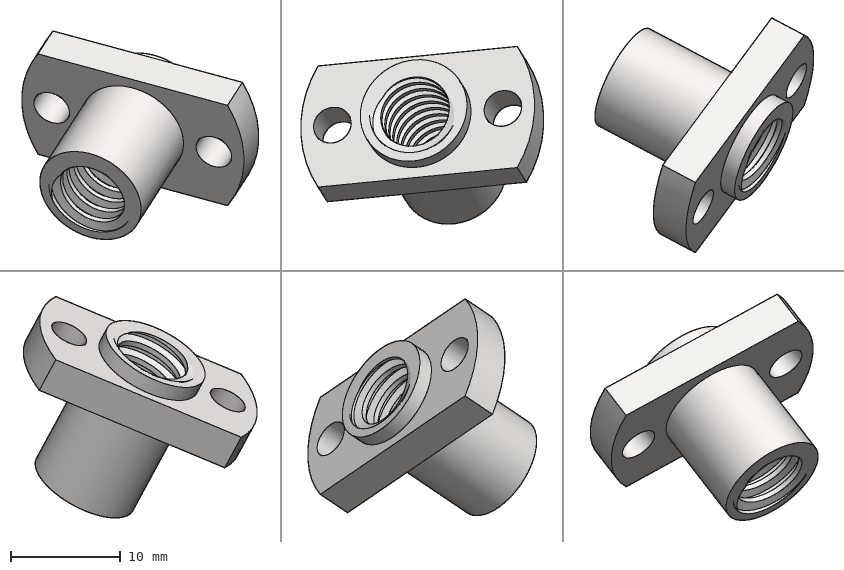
import cadquery as cq
import math

flange_length = 21.93
flange_height = 12.0
flange_flat_length = 18.68
flange_thickness = 3.5
mounting_hole_diameter = 3.5
mounting_hole_spacing = 15.99

total_depth = 15.0
barrel_diameter = 10.0
rear_boss_length = 1.5
front_length = total_depth - flange_thickness - rear_boss_length

minor_diameter = 6.6
major_diameter = 8.3
thread_turns = 10
pitch = total_depth / thread_turns
root_width = 0.53
flank_angle = 15.0
cutter_overlap = 0.1
front_phase = 0.75


def make_flange():
    half_length = flange_length / 2
    half_flat = flange_flat_length / 2
    half_height = flange_height / 2
    return (
        cq.Workplane("XZ")
        .moveTo(-half_flat, -half_height)
        .lineTo(half_flat, -half_height)
        .threePointArc((half_length, 0), (half_flat, half_height))
        .lineTo(-half_flat, half_height)
        .threePointArc((-half_length, 0), (-half_flat, -half_height))
        .close()
        .extrude(-flange_thickness)
        .faces("<Y")
        .workplane(origin=(0, 0, 0))
        .pushPoints([(-mounting_hole_spacing / 2, 0), (mounting_hole_spacing / 2, 0)])
        .hole(mounting_hole_diameter)
    )


def make_cylinder(diameter):
    """Cylinder along Y over the full depth of the nut."""
    return (
        cq.Workplane("XZ", origin=(0, -front_length, 0))
        .circle(diameter / 2)
        .extrude(-total_depth)
    )


def make_groove_turn():
    """One right-handed turn of the thread groove along +Z, starting at Z = 0 on +X."""
    root_radius = major_diameter / 2
    inner_radius = minor_diameter / 2 - cutter_overlap
    half_root = root_width / 2
    half_mouth = half_root + (root_radius - inner_radius) * math.tan(math.radians(flank_angle))
    path = cq.Wire.makeHelix(pitch, pitch, minor_diameter / 2)
    return (
        cq.Workplane("XZ")
        .polyline([
            (inner_radius, -half_mouth),
            (root_radius, -half_root),
            (root_radius, half_root),
            (inner_radius, half_mouth),
        ])
        .close()
        .sweep(cq.Workplane(path), isFrenet=True)
    )


def cut_thread(body):
    """Cut the groove turn by turn, running past both ends of the bore."""
    groove_turn = make_groove_turn().rotate((0, 0, 0), (1, 0, 0), 90)
    first_turn_y = -front_length + front_phase * pitch
    for turn in range(-1, thread_turns + 2):
        body = body.cut(groove_turn.translate((0, first_turn_y + turn * pitch, 0)))
    return body


nut = make_flange().union(make_cylinder(barrel_diameter)).cut(make_cylinder(minor_diameter))
result = cq.Workplane(cut_thread(nut).val().Solids()[0])